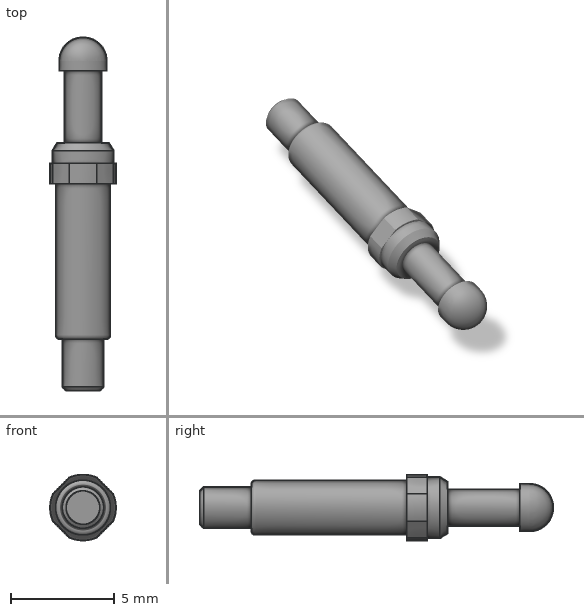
import cadquery as cq

length = 17.1

tail_diameter = 2.0
barrel_diameter = 2.65
flange_diameter = 3.2
collar_diameter = 2.98
plunger_diameter = 1.8
head_diameter = 2.3

tail_end = 2.5
barrel_end = 10.0
flange_end = 11.0
collar_end = 11.99
head_start = 15.48

tail_chamfer = 0.19
barrel_fillet = 0.2
collar_chamfer_length = 0.38
collar_chamfer_depth = 0.24

flange_across_flats = 3.0
flange_flat_angle = 45


def section_plane(start):
    """Plane across the pin axis at Y = start, with its normal along +Y."""
    return cq.Workplane(cq.Plane(origin=(0, start, 0), xDir=(1, 0, 0), normal=(0, 1, 0)))


def cylinder(diameter, start, end):
    return section_plane(start).circle(diameter / 2).extrude(end - start)


def make_tail():
    return cylinder(tail_diameter, 0, tail_end).faces("<Y").chamfer(tail_chamfer)


def make_barrel():
    return cylinder(barrel_diameter, tail_end, barrel_end).faces("<Y").edges().fillet(barrel_fillet)


def make_flange():
    """Round flange with four flats facing the diagonals between X and Z."""
    disc = cylinder(flange_diameter, barrel_end, flange_end)
    square = (
        section_plane(barrel_end)
        .transformed(rotate=(0, 0, flange_flat_angle))
        .rect(flange_across_flats, flange_across_flats)
        .extrude(flange_end - barrel_end)
    )
    return disc.intersect(square)


def make_collar():
    """Round collar with a long chamfer on the plunger side."""
    collar_radius = collar_diameter / 2
    return (
        cq.Workplane("XY")
        .moveTo(0, flange_end)
        .lineTo(collar_radius, flange_end)
        .lineTo(collar_radius, collar_end - collar_chamfer_length)
        .lineTo(collar_radius - collar_chamfer_depth, collar_end)
        .lineTo(0, collar_end)
        .close()
        .revolve(360, (0, 0), (0, 1))
    )


def make_plunger():
    return cylinder(plunger_diameter, collar_end, head_start)


def make_head():
    """Contact head: a short cylinder ending in a hemisphere."""
    head_radius = head_diameter / 2
    dome_start = length - head_radius
    dome = cq.Workplane("XY", origin=(0, dome_start, 0)).sphere(head_radius)
    return cylinder(head_diameter, head_start, dome_start).union(
        dome.intersect(cylinder(head_diameter, dome_start, length))
    )


result = (
    make_tail()
    .union(make_barrel())
    .union(make_flange())
    .union(make_collar())
    .union(make_plunger())
    .union(make_head())
)